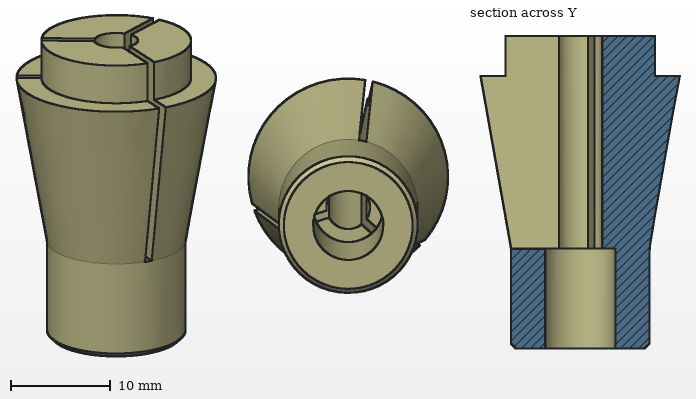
import cadquery as cq

total_height = 31.3
shank_height = 10.02
nose_height = 4.0
cone_top_height = total_height - nose_height

shank_diameter = 13.9
cone_top_diameter = 20.0
nose_diameter = 15.0
shank_chamfer = 0.5

grip_diameter = 4.35
shank_bore_diameter = 7.0

jaw_count = 3
slit_width = 0.75


def collet_body():
    """Revolve the shank, cone and nose as one solid."""
    shank_radius = shank_diameter / 2
    nose_radius = nose_diameter / 2
    return (
        cq.Workplane("XZ")
        .moveTo(0, 0)
        .lineTo(shank_radius - shank_chamfer, 0)
        .lineTo(shank_radius, shank_chamfer)
        .lineTo(shank_radius, shank_height)
        .lineTo(cone_top_diameter / 2, cone_top_height)
        .lineTo(nose_radius, cone_top_height)
        .lineTo(nose_radius, total_height)
        .lineTo(0, total_height)
        .close()
        .revolve(360, (0, 0, 0), (0, 1, 0))
    )


def bores():
    """Narrow grip bore through the part, with a wider bore up the shank."""
    grip = cq.Workplane("XY").circle(grip_diameter / 2).extrude(total_height)
    shank_bore = cq.Workplane("XY").circle(shank_bore_diameter / 2).extrude(shank_height)
    return grip.union(shank_bore)


def slit(angle):
    """Radial slit from the axis outward, from the top of the shank to the nose face."""
    return (
        cq.Workplane("XY")
        .workplane(offset=shank_height)
        .rect(cone_top_diameter, slit_width)
        .extrude(total_height - shank_height)
        .translate((cone_top_diameter / 2, 0, 0))
        .rotate((0, 0, 0), (0, 0, 1), angle)
    )


result = collet_body().cut(bores())
for jaw in range(jaw_count):
    result = result.cut(slit(jaw * 360 / jaw_count))